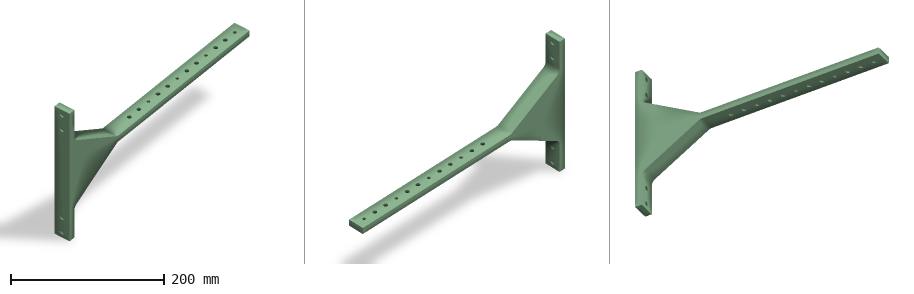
import cadquery as cq
import math

width = 25.0
length = 375.0
plate_height = 218.0
plate_thickness = 10.0
arm_thickness = 10.0

gusset_start = 100.0
gusset_angle = math.radians(30)
bend_radius = 10.0

arm_hole_count = 12
holes_per_group = 3
group_pitch = 60.0
arm_hole_pitch = group_pitch / holes_per_group
tip_to_first_hole = 15.0
small_hole_diameter = 5.0
large_hole_diameter = 6.5

plate_hole_diameter = 6.8
outer_hole_spacing = 200.0
inner_hole_spacing = 150.0


def make_body():
    """Extrude the upper half of the side outline and mirror it about the arm's mid-plane."""
    half_arm = arm_thickness / 2
    gusset_rise = (gusset_start - plate_thickness) * math.tan(gusset_angle)
    upper_half = (
        cq.Workplane("YZ")
        .moveTo(0, 0)
        .lineTo(length, 0)
        .lineTo(length, half_arm)
        .lineTo(gusset_start, half_arm)
        .lineTo(plate_thickness, half_arm + gusset_rise)
        .lineTo(plate_thickness, plate_height / 2)
        .lineTo(0, plate_height / 2)
        .close()
        .extrude(width / 2, both=True)
    )
    arm_corner = (0, gusset_start, half_arm)
    plate_corner = (0, plate_thickness, half_arm + gusset_rise)
    for corner in (arm_corner, plate_corner):
        bend_edge = cq.selectors.NearestToPointSelector(corner)
        upper_half = upper_half.edges("|X").edges(bend_edge).fillet(bend_radius)
    return upper_half.union(upper_half.mirror("XY")).clean()


def drill_arm(body):
    """Drill the row of vertical holes, starting near the arm tip."""
    for index in range(arm_hole_count):
        is_small = index % holes_per_group == 0
        diameter = small_hole_diameter if is_small else large_hole_diameter
        hole_y = length - tip_to_first_hole - index * arm_hole_pitch
        drill = (
            cq.Workplane("XY")
            .center(0, hole_y)
            .circle(diameter / 2)
            .extrude(arm_thickness, both=True)
        )
        body = body.cut(drill)
    return body


def drill_plate(body):
    """Drill the mounting holes through the plate along Y."""
    hole_heights = [
        side * spacing / 2
        for spacing in (outer_hole_spacing, inner_hole_spacing)
        for side in (-1, 1)
    ]
    drills = (
        cq.Workplane("XZ")
        .pushPoints([(0, height) for height in hole_heights])
        .circle(plate_hole_diameter / 2)
        .extrude(-plate_thickness)
    )
    return body.cut(drills)


result = drill_plate(drill_arm(make_body()))